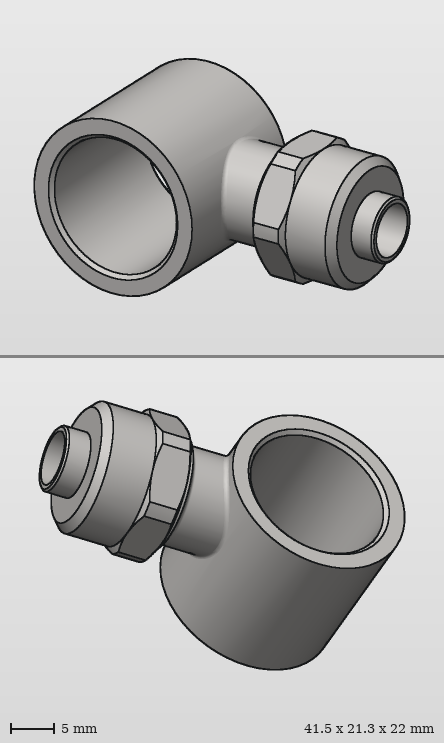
import cadquery as cq
import math

sleeve_outer_radius = 11.0
sleeve_bore_radius = 8.5
sleeve_length = 20.0
sleeve_mouth_chamfer = 0.5

branch_axis_y = 2.5
branch_passage_radius = 3.25
neck_radius = 6.0
neck_root_fillet = 0.5

collar_radius = 7.0
collar_length = 0.7
collar_cone_angle = 30.0
collar_fillet = 0.4

nut_start_x = 16.5
hex_across_flats = 16.0
hex_corner_radius = 8.75
hex_length = 4.5
hex_front_face_radius = 7.9
hex_chamfer_length = 0.5
nut_body_radius = hex_across_flats / 2
nut_end_x = 27.5
nut_body_chamfer = 1.0

stub_radius = 4.0
stub_end_x = 30.5
stub_chamfer = 0.25

hex_end_x = nut_start_x + hex_length
collar_start_x = nut_start_x - collar_length


def revolve_about_x(profile):
    return profile.close().revolve(360, (0, 0, 0), (1, 0, 0))


def make_sleeve():
    return (
        cq.Workplane("XZ")
        .circle(sleeve_outer_radius)
        .extrude(sleeve_length / 2, both=True)
        .translate((0, -branch_axis_y, 0))
    )


def make_neck():
    return (
        cq.Workplane("YZ")
        .circle(neck_radius)
        .extrude(nut_start_x)
    )


def make_collar():
    """Cylindrical collar led into by a cone with a concave fillet at its foot."""
    cone_angle = math.radians(collar_cone_angle)
    cone_foot_x = collar_start_x - (collar_radius - neck_radius) * math.tan(cone_angle)
    turn_angle = math.pi / 2 - cone_angle
    tangent_length = collar_fillet * math.tan(turn_angle / 2)
    fillet_start_x = cone_foot_x - tangent_length
    fillet_middle = (
        fillet_start_x + collar_fillet * math.sin(turn_angle / 2),
        neck_radius + collar_fillet * (1 - math.cos(turn_angle / 2)),
    )
    fillet_end = (
        fillet_start_x + collar_fillet * math.sin(turn_angle),
        neck_radius + collar_fillet * (1 - math.cos(turn_angle)),
    )
    return revolve_about_x(
        cq.Workplane("XY")
        .moveTo(fillet_start_x, 0)
        .lineTo(fillet_start_x, neck_radius)
        .threePointArc(fillet_middle, fillet_end)
        .lineTo(collar_start_x, collar_radius)
        .lineTo(nut_start_x, collar_radius)
        .lineTo(nut_start_x, 0)
    )


def make_hexagon():
    """Hexagonal prism with flats facing +/-Z, trimmed by a turned envelope."""
    across_corners = hex_across_flats / math.cos(math.pi / 6)
    prism = (
        cq.Workplane("YZ", origin=(nut_start_x, 0, 0))
        .polygon(6, across_corners)
        .extrude(hex_length)
    )
    envelope = revolve_about_x(
        cq.Workplane("XY")
        .moveTo(nut_start_x, 0)
        .lineTo(nut_start_x, hex_front_face_radius)
        .lineTo(nut_start_x + hex_chamfer_length, hex_corner_radius)
        .lineTo(hex_end_x - hex_chamfer_length, hex_corner_radius)
        .lineTo(hex_end_x, nut_body_radius)
        .lineTo(hex_end_x, 0)
    )
    return prism.intersect(envelope)


def make_nut_body():
    return (
        cq.Workplane("YZ", origin=(hex_end_x, 0, 0))
        .circle(nut_body_radius)
        .extrude(nut_end_x - hex_end_x)
        .faces(">X")
        .chamfer(nut_body_chamfer)
    )


def make_stub():
    return (
        cq.Workplane("YZ", origin=(nut_end_x, 0, 0))
        .circle(stub_radius)
        .extrude(stub_end_x - nut_end_x)
        .faces(">X")
        .chamfer(stub_chamfer)
    )


def join_neck_to_sleeve():
    """Sleeve and neck blended by a fillet along their intersection curve."""
    joined = make_sleeve().union(make_neck())
    root_zone = cq.selectors.BoxSelector(
        (sleeve_bore_radius, -neck_radius - neck_root_fillet, -sleeve_outer_radius),
        (sleeve_outer_radius + neck_root_fillet, neck_radius + neck_root_fillet, sleeve_outer_radius),
        boundingbox=True,
    )
    return joined.edges(root_zone).fillet(neck_root_fillet)


def cut_sleeve_bore(body):
    """Through bore along Y, opened out by a chamfer at both mouths."""
    half_length = sleeve_length / 2
    chamfer_start = half_length - sleeve_mouth_chamfer
    mouth_radius = sleeve_bore_radius + sleeve_mouth_chamfer
    bore = (
        cq.Workplane("XY")
        .moveTo(0, -half_length)
        .lineTo(mouth_radius, -half_length)
        .lineTo(sleeve_bore_radius, -chamfer_start)
        .lineTo(sleeve_bore_radius, chamfer_start)
        .lineTo(mouth_radius, half_length)
        .lineTo(0, half_length)
        .close()
        .revolve(360, (0, 0, 0), (0, 1, 0))
        .translate((0, -branch_axis_y, 0))
    )
    return body.cut(bore)


def cut_branch_passage(body):
    passage = (
        cq.Workplane("YZ")
        .circle(branch_passage_radius)
        .extrude(stub_end_x)
    )
    return body.cut(passage)


fitting = join_neck_to_sleeve()
for branch_section in (make_collar(), make_hexagon(), make_nut_body(), make_stub()):
    fitting = fitting.union(branch_section)
result = cut_branch_passage(cut_sleeve_bore(fitting))